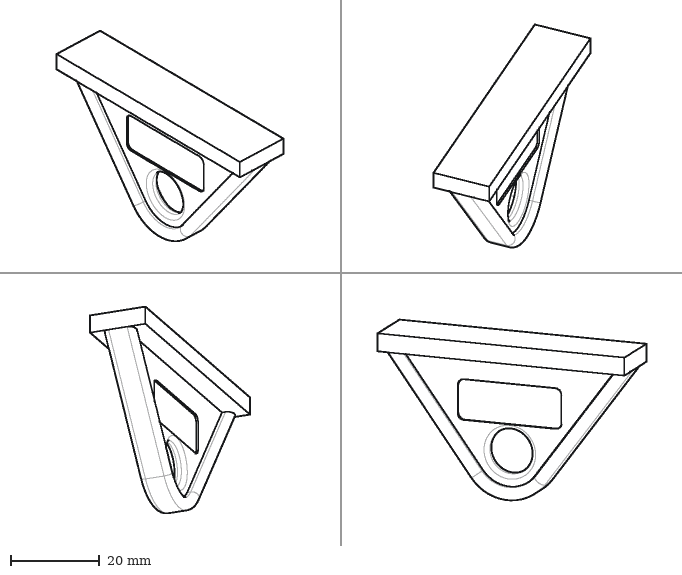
import cadquery as cq
import math

plate_length = 60.0
plate_width = 13.6
plate_thickness = 4.2

total_height = 37.15
nose_radius = 11.05
rim_width = 3.0
rim_depth = 7.55
web_recess = 2.3

eye_diameter = 10.5
eye_rounding = 1.0

panel_length = 25.2
panel_height = 9.5
panel_corner_radius = 1.5
panel_depth = 0.5
panel_center_z = -14.95

eye_z = nose_radius - total_height
half_length = plate_length / 2
corner_rise = -plate_thickness - eye_z
corner_distance = math.hypot(half_length, corner_rise)
normal_angle = math.atan2(corner_rise, half_length) - math.acos(nose_radius / corner_distance)
normal_x = math.cos(normal_angle)
normal_z = math.sin(normal_angle)
web_thickness = rim_depth - 2 * web_recess
rim_radius = nose_radius - rim_width / 2


def side_point(radius, z):
    """Point at height z on the right side line offset to the given nose radius."""
    return ((radius - (z - eye_z) * normal_z) / normal_x, z)


def hanger_path(radius, top_z):
    """V-shaped path with a round nose, running from left to right."""
    top_x, _ = side_point(radius, top_z)
    tangent_x = radius * normal_x
    tangent_z = eye_z + radius * normal_z
    return (
        cq.Workplane("XZ")
        .moveTo(-top_x, top_z)
        .lineTo(-tangent_x, tangent_z)
        .threePointArc((0, eye_z - radius), (tangent_x, tangent_z))
        .lineTo(top_x, top_z)
    )


def make_plate():
    return cq.Workplane("XY").box(
        plate_length, plate_width, plate_thickness, centered=(True, True, False)
    ).translate((0, 0, -plate_thickness))


def make_rim():
    """Rim with half-round crests on both faces, trimmed at the plate underside."""
    start_x, _ = side_point(rim_radius, 0)
    section_plane = cq.Plane(
        origin=(-start_x, 0, 0), xDir=(0, 1, 0), normal=(-normal_z, 0, -normal_x)
    )
    rim = cq.Workplane(section_plane).slot2D(rim_depth, rim_width).sweep(hanger_path(rim_radius, 0))
    trim_size = 2 * plate_length
    below_plate = cq.Workplane("XY").box(
        trim_size, trim_size, trim_size, centered=(True, True, False)
    ).translate((0, 0, -plate_thickness - trim_size))
    return rim.intersect(below_plate)


def make_web():
    """Flat web with a rounded eye."""
    web = hanger_path(rim_radius, -plate_thickness).close().extrude(web_thickness / 2, both=True)
    eye = (
        cq.Workplane("XZ")
        .center(0, eye_z)
        .circle(eye_diameter / 2)
        .extrude(web_thickness, both=True)
    )
    eye_edges = cq.selectors.RadiusNthSelector(0)
    return web.cut(eye).edges(eye_edges).fillet(eye_rounding)


def make_panel(side):
    """Panel recess on the front (side = -1) or rear (side = 1) web face."""
    return (
        cq.Workplane("XY")
        .box(panel_length, 2 * panel_depth, panel_height)
        .edges("|Y")
        .fillet(panel_corner_radius)
        .translate((0, side * web_thickness / 2, panel_center_z))
    )


result = make_plate().union(make_web()).union(make_rim())
for side in (-1, 1):
    result = result.cut(make_panel(side))